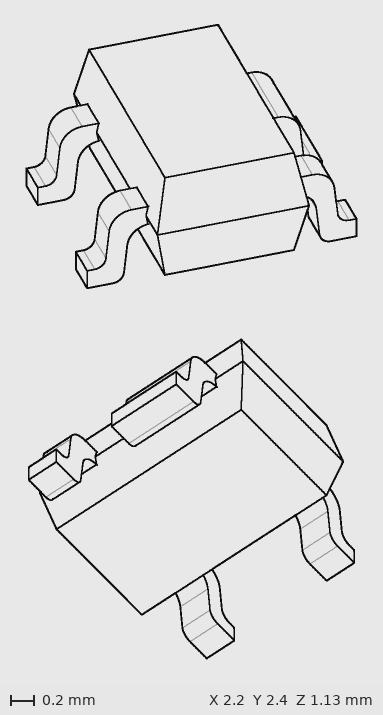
import cadquery as cq
import math

LEAD_SPAN = 2.4
TOTAL_HEIGHT = 1.13

HOUSING_LENGTH = 2.2
HOUSING_WIDTH = 1.35
HOUSING_HEIGHT = 1.0
HOUSING_INSET = 0.1
PARTING_Z = TOTAL_HEIGHT - HOUSING_HEIGHT / 2

LEAD_THICKNESS = 0.18
NARROW_LEAD = 0.3
WIDE_LEAD = 0.7
LEAD_ROW_HALF_LENGTH = 0.8
TOE_FLAT = 0.067
FOOT_RADIUS = 0.1
SHOULDER_RADIUS = 0.2
LEG_LEAN = math.radians(6)
EMBED_DEPTH = 0.1
LEAD_TOP_Z = PARTING_Z + LEAD_THICKNESS / 2

LEADS = [
    (-LEAD_ROW_HALF_LENGTH, NARROW_LEAD, -1),
    (LEAD_ROW_HALF_LENGTH - NARROW_LEAD, NARROW_LEAD, -1),
    (-LEAD_ROW_HALF_LENGTH, WIDE_LEAD, 1),
    (LEAD_ROW_HALF_LENGTH - NARROW_LEAD, NARROW_LEAD, 1),
]


def make_housing_half(direction):
    """Frustum rising (1) or dropping (-1) from the parting plane."""
    half_height = HOUSING_HEIGHT / 2
    return (
        cq.Workplane("XY", origin=(0, 0, PARTING_Z))
        .rect(HOUSING_LENGTH, HOUSING_WIDTH)
        .workplane(offset=direction * half_height)
        .rect(HOUSING_LENGTH - 2 * HOUSING_INSET, HOUSING_WIDTH - 2 * HOUSING_INSET)
        .loft(ruled=True)
    )


def make_lead(left_x, width, side):
    """Gull-wing lead on the -Y (-1) or +Y (1) side of the housing."""
    tip_y = -LEAD_SPAN / 2
    root_y = -HOUSING_WIDTH / 2 + EMBED_DEPTH
    foot_bend_y = tip_y + TOE_FLAT + FOOT_RADIUS * math.tan((math.pi / 2 - LEG_LEAN) / 2)
    leg_thickness_y = LEAD_THICKNESS / math.cos(LEG_LEAN)

    def leg_outer_y(z):
        return foot_bend_y + (z - LEAD_THICKNESS) * math.tan(LEG_LEAN)

    def leg_inner_y(z):
        return leg_outer_y(z) + leg_thickness_y

    lead_under_z = LEAD_TOP_Z - LEAD_THICKNESS
    foot_corners = [(foot_bend_y, LEAD_THICKNESS), (leg_inner_y(0), 0)]
    shoulder_corners = [
        (leg_outer_y(LEAD_TOP_Z), LEAD_TOP_Z),
        (leg_inner_y(lead_under_z), lead_under_z),
    ]
    lead = (
        cq.Workplane("YZ", origin=(left_x, 0, 0))
        .moveTo(tip_y, 0)
        .lineTo(tip_y, LEAD_THICKNESS)
        .lineTo(*foot_corners[0])
        .lineTo(*shoulder_corners[0])
        .lineTo(root_y, LEAD_TOP_Z)
        .lineTo(root_y, lead_under_z)
        .lineTo(*shoulder_corners[1])
        .lineTo(*foot_corners[1])
        .close()
        .extrude(width)
    )
    middle_x = left_x + width / 2
    for corners, radius in ((foot_corners, FOOT_RADIUS), (shoulder_corners, SHOULDER_RADIUS)):
        for y, z in corners:
            bend_edge = cq.selectors.NearestToPointSelector((middle_x, y, z))
            lead = lead.edges(bend_edge).fillet(radius)
    return lead if side < 0 else lead.mirror("XZ")


leads = [make_lead(*placement) for placement in LEADS]

housing = make_housing_half(1).union(make_housing_half(-1))
for lead in leads:
    housing = housing.cut(lead)

result = cq.Compound.makeCompound([housing.solids().val(), *[lead.solids().val() for lead in leads]])